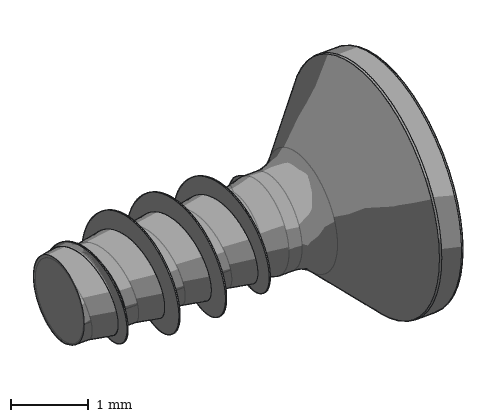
import cadquery as cq
import math

LENGTH = 5.0

HEAD_RADIUS = 1.825
RIM_CHAMFER_LENGTH = 0.03
RIM_CHAMFER_DEPTH = 0.01
RIM_HEIGHT = 0.36
CONE_END_RADIUS = 0.865
CONE_END_Z = 1.315
NECK_RADIUS = 0.685
NECK_START_Z = 1.74
NECK_END_Z = 1.94

CORE_RADIUS = 0.605
CORE_START_Z = 2.27
TIP_RIM_WIDTH = 0.02
TIP_HOLLOW_DEPTH = 0.125

PITCH = 0.7075
CREST_PHASE_Z = 2.34
START_TURN = -0.75
END_TURN = 3.8
POINTS_PER_TURN = 24
CREST_START_RADIUS = 0.73
CREST_RADIUS = 0.91
CREST_END_RADIUS = 0.615
FULL_START_Z = 2.65
FULL_END_Z = 3.95
CREST_HALF_WIDTH = 0.01
HEAD_FLANK_REACH = 0.1
TIP_FLANK_REACH = 0.075
COLLAR_REACH = 0.465
COLLAR_HEIGHT = 0.06
COLLAR_SHARE = 0.6
FLANK_WAIST_HEIGHT = 0.45
FLANK_WAIST_WIDTH = 0.035
ROOT_SINK = 0.005
ROOT_OVERLAP = 0.1


def make_blank():
    """Revolve the head, curved neck and core."""
    profile = (
        cq.Workplane("XZ")
        .lineTo(HEAD_RADIUS - RIM_CHAMFER_DEPTH, 0)
        .lineTo(HEAD_RADIUS, RIM_CHAMFER_LENGTH)
        .lineTo(HEAD_RADIUS, RIM_HEIGHT - RIM_CHAMFER_LENGTH)
        .lineTo(HEAD_RADIUS - RIM_CHAMFER_DEPTH, RIM_HEIGHT)
        .lineTo(CONE_END_RADIUS, CONE_END_Z)
        .spline(
            [(NECK_RADIUS, NECK_START_Z)],
            tangents=[(CONE_END_RADIUS - HEAD_RADIUS, CONE_END_Z - RIM_HEIGHT), (0, 1)],
            includeCurrent=True,
        )
        .lineTo(NECK_RADIUS, NECK_END_Z)
        .lineTo(CORE_RADIUS, CORE_START_Z)
        .lineTo(CORE_RADIUS, LENGTH)
        .lineTo(0, LENGTH)
        .close()
    )
    return profile.revolve(360, (0, 0, 0), (0, 1, 0))


def crest_radius(z):
    """Crest radius: grows over the run-in, stays constant, shrinks over the run-out."""
    start_z = CREST_PHASE_Z + PITCH * START_TURN
    end_z = CREST_PHASE_Z + PITCH * END_TURN
    run_in = (z - start_z) / (FULL_START_Z - start_z)
    run_out = (end_z - z) / (end_z - FULL_END_Z)
    return min(
        CREST_RADIUS,
        CREST_START_RADIUS + (CREST_RADIUS - CREST_START_RADIUS) * run_in,
        CREST_END_RADIUS + (CREST_RADIUS - CREST_END_RADIUS) * run_out,
    )


def thread_section(turn):
    """Corners of the thread profile at a given turn, in order around the section."""
    crest_z = CREST_PHASE_Z + PITCH * turn
    crest = crest_radius(crest_z)
    height = crest - CORE_RADIUS
    collar = CORE_RADIUS + min(COLLAR_HEIGHT, COLLAR_SHARE * height)
    root = CORE_RADIUS - ROOT_SINK
    sunk = CORE_RADIUS - ROOT_OVERLAP
    waist = CORE_RADIUS + FLANK_WAIST_HEIGHT * height
    corners = [
        (sunk, -HEAD_FLANK_REACH),
        (root, -HEAD_FLANK_REACH),
        (waist, -FLANK_WAIST_WIDTH),
        (crest, -CREST_HALF_WIDTH),
        (crest, CREST_HALF_WIDTH),
        (collar, TIP_FLANK_REACH),
        (root, COLLAR_REACH),
        (sunk, COLLAR_REACH),
    ]
    angle = 2 * math.pi * turn
    return [
        cq.Vector(radius * math.cos(angle), radius * math.sin(angle), crest_z + offset)
        for radius, offset in corners
    ]


def make_thread():
    """Join helical edges through the profile corners with ruled faces and cap both ends."""
    steps = round((END_TURN - START_TURN) * POINTS_PER_TURN)
    turns = [START_TURN + (END_TURN - START_TURN) * i / steps for i in range(steps + 1)]
    sections = [thread_section(turn) for turn in turns]
    rails = [cq.Edge.makeSpline(list(points)) for points in zip(*sections)]
    faces = [
        cq.Face.makeRuledSurface(rail, following)
        for rail, following in zip(rails, rails[1:] + rails[:1])
    ]
    for end in (sections[0], sections[-1]):
        faces.append(cq.Face.makeFromWires(cq.Wire.makePolygon(end, close=True)))
    thread = cq.Workplane(cq.Solid.makeSolid(cq.Shell.makeShell(faces)))
    threaded_length = (
        cq.Workplane("XY")
        .workplane(offset=NECK_END_Z)
        .circle(HEAD_RADIUS)
        .extrude(LENGTH - NECK_END_Z)
    )
    return threaded_length.intersect(thread)


def make_tip_hollow():
    """Shallow conical recess in the tip face."""
    return (
        cq.Workplane("XZ")
        .moveTo(0, LENGTH - TIP_HOLLOW_DEPTH)
        .lineTo(CORE_RADIUS - TIP_RIM_WIDTH, LENGTH)
        .lineTo(0, LENGTH)
        .close()
        .revolve(360, (0, 0, 0), (0, 1, 0))
    )


screw = make_blank().union(make_thread()).cut(make_tip_hollow())
result = screw.rotate((0, 0, 0), (1, 0, 0), 90)